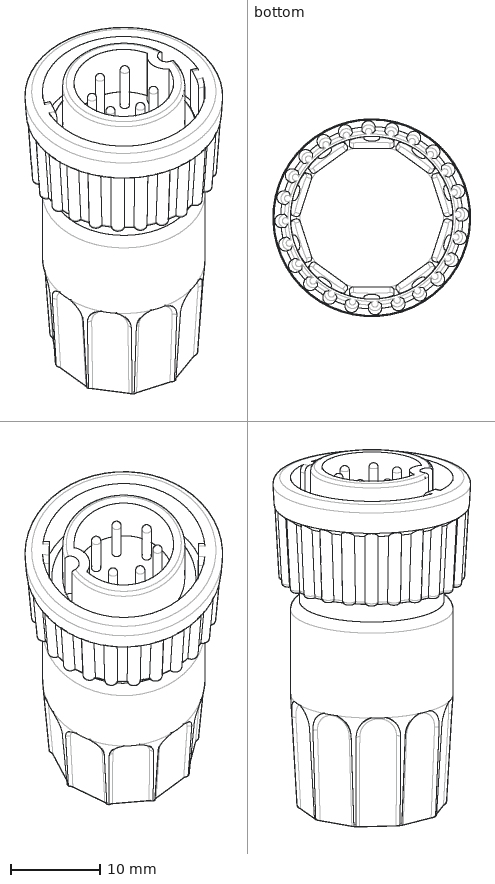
import cadquery as cq
import math

height = 39.88
grip_top = 13.15
shoulder_z = 24.13
collar_bottom = 26.6
cavity_floor = 32.45
insert_face = 33.4
groove_top = 34.8
band_bottom = 35.4
collar_top = 38.6

grip_base_radius = 8.4
body_radius = 9.15
flat_count = 10
flat_base_distance = 7.78
flat_half_width = 2.55
arch_center = 10.8
flat_floor_fillet = 0.48
run_out = 1.6
grip_base_fillet = 0.4
grip_tilt = math.atan((body_radius - grip_base_radius) / grip_top)

shoulder_fillet = 1.0
neck_radius = body_radius - shoulder_fillet

collar_radius = 22.2 / 2
collar_base_radius = 10.5
collar_bore_radius = 9.15
collar_top_fillet = 0.75
collar_base_fillet = 0.4
collar_angle = 65.4
rib_count = 24
rib_radius = 0.75
rib_recess = 0.08
valley_depth = 0.7
widest_z = collar_top - collar_top_fillet
collar_taper = (collar_radius - collar_base_radius) / (widest_z - collar_bottom)

key_count = 2
key_width = 2.87
key_inner_radius = 8.37
key_edge_radius = 0.7

tube_radius = 6.85
tube_bore_radius = 5.6
tube_edge_fillet = 0.4
keyway_center_y = 6.6
keyway_radius = 1.0
keyway_wall = 1.2
seal_radius = 0.65
seal_center_radius = 7.45
seal_seat = 0.05
pin_radius = 0.5
pin_top = 39.3
pin_sites = [(2.35, 2.35), (3.3, -0.55), (1.5, -3.45)]

overlap = 0.2
half_arc = math.sqrt(0.5)


def collar_crest(z):
    """Outer radius of the tapered collar at height z."""
    return collar_base_radius + collar_taper * (z - collar_bottom)


def cylinder(radius, bottom, top):
    return cq.Workplane("XY").workplane(offset=bottom).circle(radius).extrude(top - bottom)


def revolve_profile(profile):
    return profile.close().revolve(360, (0, 0, 0), (0, 1, 0))


def make_grip_flat():
    """Cutter for one flat: a round-topped pocket whose floor is parallel to the grip's taper."""
    plane = cq.Plane(
        origin=(0, -flat_base_distance, 0),
        xDir=(1, 0, 0),
        normal=(0, -math.cos(grip_tilt), -math.sin(grip_tilt)),
    )
    return (
        cq.Workplane(plane)
        .moveTo(-flat_half_width, -run_out)
        .lineTo(flat_half_width, -run_out)
        .lineTo(flat_half_width, arch_center)
        .threePointArc((0, arch_center + flat_half_width), (-flat_half_width, arch_center))
        .close()
        .extrude(2 * flat_half_width)
        .faces(cq.selectors.DirectionMinMaxSelector(plane.zDir, False))
        .edges()
        .fillet(flat_floor_fillet)
    )


def make_grip():
    """Tapered grip with a ring of recessed flats."""
    grip = revolve_profile(
        cq.Workplane("XZ").lineTo(grip_base_radius, 0).lineTo(body_radius, grip_top).lineTo(0, grip_top)
    )
    grip = grip.faces("<Z").edges().fillet(grip_base_fillet)
    flat = make_grip_flat()
    for i in range(flat_count):
        grip = grip.cut(flat.rotate((0, 0, 0), (0, 0, 1), i * 360 / flat_count))
    return grip


def make_body():
    """Body and neck, solid up to the floor of the collar cavity."""
    arc_mid = (
        body_radius - shoulder_fillet * (1 - half_arc),
        shoulder_z - shoulder_fillet * (1 - half_arc),
    )
    return revolve_profile(
        cq.Workplane("XZ")
        .moveTo(0, grip_top)
        .lineTo(body_radius, grip_top)
        .lineTo(body_radius, shoulder_z - shoulder_fillet)
        .threePointArc(arc_mid, (neck_radius, shoulder_z))
        .lineTo(neck_radius, cavity_floor)
        .lineTo(0, cavity_floor)
    )


def make_collar_blank():
    """Collar revolved solid: plain band above, valley surface below."""
    top_mid = (
        collar_radius - collar_top_fillet * (1 - half_arc),
        collar_top - collar_top_fillet * (1 - half_arc),
    )
    return revolve_profile(
        cq.Workplane("XZ")
        .moveTo(0, collar_bottom)
        .lineTo(collar_base_radius - valley_depth, collar_bottom)
        .lineTo(collar_crest(groove_top) - valley_depth, groove_top)
        .lineTo(collar_crest(band_bottom), band_bottom)
        .lineTo(collar_radius, widest_z)
        .threePointArc(top_mid, (collar_radius - collar_top_fillet, collar_top))
        .lineTo(0, collar_top)
    )


def make_rib():
    """Round bar lying along the collar's taper on the +X side."""
    start_z = collar_bottom - rib_radius
    plane = cq.Plane(
        origin=(collar_crest(start_z) - rib_recess - rib_radius, 0, start_z),
        xDir=(-1, 0, collar_taper),
        normal=(collar_taper, 0, 1),
    )
    bar = cq.Workplane(plane).circle(rib_radius).extrude(band_bottom - start_z + overlap)
    bar = bar.cut(cylinder(collar_radius, start_z - rib_radius, collar_bottom))
    return bar.faces("<Z").edges().fillet(collar_base_fillet)


def make_key():
    """Inward key of the collar on the +X side with rounded upper edges."""
    length = collar_bore_radius + overlap - key_inner_radius
    return (
        cq.Workplane("XY")
        .box(length, key_width, collar_top - cavity_floor + overlap, centered=(False, True, False))
        .edges("|X and >Z")
        .fillet(key_edge_radius)
        .translate((key_inner_radius, 0, cavity_floor - overlap))
    )


def make_collar():
    collar = make_collar_blank().faces("<Z").edges().fillet(collar_base_fillet)
    rib_pitch = 360 / rib_count
    rib = make_rib()
    for i in range(rib_count):
        collar = collar.union(rib.rotate((0, 0, 0), (0, 0, 1), (i + 0.5) * rib_pitch))
    collar = collar.cut(cylinder(collar_bore_radius, cavity_floor, collar_top))
    key = make_key()
    for i in range(key_count):
        collar = collar.union(key.rotate((0, 0, 0), (0, 0, 1), i * 360 / key_count))
    return collar.rotate((0, 0, 0), (0, 0, 1), collar_angle)


def make_tube():
    """Contact tube with an outside keyway and the matching wall bulge inside."""
    base = cavity_floor - overlap
    tube = cylinder(tube_radius, base, height).faces(">Z").edges().fillet(tube_edge_fillet)
    bulge = cylinder(keyway_radius + keyway_wall, insert_face, height).translate((0, keyway_center_y, 0))
    tube = tube.cut(cylinder(tube_bore_radius, insert_face, height).cut(bulge))
    return tube.cut(cylinder(keyway_radius, cavity_floor, height).translate((0, keyway_center_y, 0)))


def make_seal():
    """Round seal ring resting on the cavity floor around the tube."""
    ring = cq.Solid.makeTorus(seal_center_radius, seal_radius)
    return cq.Workplane(ring).translate((0, 0, cavity_floor + seal_radius - seal_seat))


def make_pin():
    """Contact pin with a hemispherical tip."""
    tip_center = pin_top - pin_radius
    tip_mid = (pin_radius * half_arc, tip_center + pin_radius * half_arc)
    return revolve_profile(
        cq.Workplane("XZ")
        .moveTo(0, insert_face - overlap)
        .lineTo(pin_radius, insert_face - overlap)
        .lineTo(pin_radius, tip_center)
        .threePointArc(tip_mid, (0, pin_top))
    )


result = make_grip().union(make_body()).union(make_collar()).union(make_tube()).union(make_seal())
for x, y in pin_sites:
    for side in (-1, 1):
        result = result.union(make_pin().translate((side * x, y, 0)))